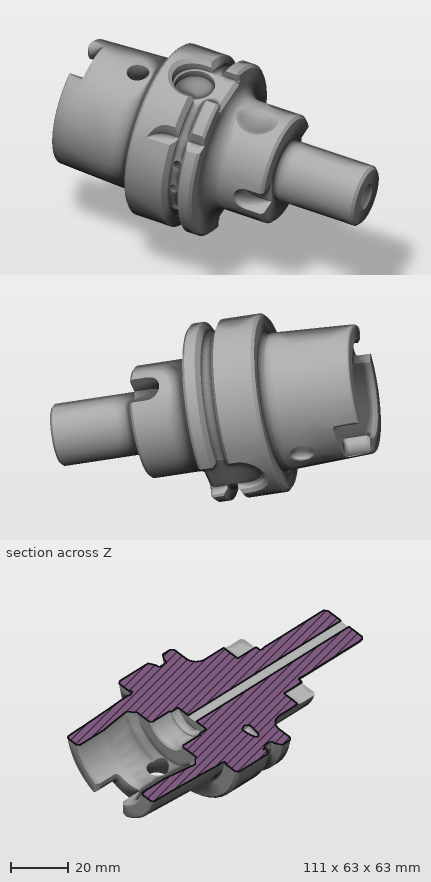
import cadquery as cq
import math

tolerance = 0.01

total_length = 111.0

taper_small_radius = 22.9
taper_big_radius = 24.2
taper_end_x = 29.9
taper_tip_round = 1.1
relief_radius = 24.0
relief_slope = 0.7
relief_length = 0.5

flange_x = 32.0
flange_end_x = 57.9
flange_radius = 31.5
flange_front_chamfer = 1.0
flange_back_chamfer = 1.0
face_recess_radius = 25.1
face_recess_root_radius = 24.4
face_recess_depth = 0.5

groove_x = 49.8
groove_half_width = 1.9
groove_flank_width = 1.4
groove_flank_angle = 60.0
groove_floor_radius = 27.5
groove_floor_fillet = 0.4

neck_radius = 19.9
neck_end_x = 80.0
neck_fillet = 4.9
neck_end_chamfer = 1.0
arbor_radius = 11.0
arbor_end_chamfer = 1.0
undercut_depth = 0.2
undercut_entry = 0.4
undercut_width = 0.5
undercut_exit = 1.0

bore_radius = 16.8
bore_mouth_chamfer = 0.8
bore_straight_depth = 11.9
flare_radius = 18.4
flare_end_x = 24.1
bore_floor_radius = 15.8
bore_floor_x = 26.8
thread_radius = 9.0
thread_chamfer = 0.7
thread_depth = 8.9
core_radius = 8.4
core_depth = 3.3
through_radius = 4.7

slot_half_width = 6.1
slot_corner_radius = 3.5
slot_corner_z = 17.2
slot_top_depth = 5.7
slot_bottom_depth = 9.2
slot_floor_fillet = 1.2
slot_mouth_chamfer = 1.0

cross_hole_x = 22.8
cross_hole_radius = 3.9
cross_hole_chamfer = 0.3

keyway_x = 44.6
keyway_half_width = 8.0
keyway_floor_z = 26.5
keyway_edge_chamfer = 1.4
keyway_rim_chamfer = 0.8
keyway_back_chamfer = 1.4
chip_hole_radius = 7.1
chip_hole_depth = 2.7

notch_y = -20.0
notch_z = 19.8
notch_cutter_radius = 7.5

balance_angles = (25, 5, -15, -35)
balance_radius = 1.7
balance_depth = 11.1
balance_tip_angle = 120.0

dimple_x = 68.8
dimple_z = 27.2
dimple_radius = 10.4

drive_half_width = 4.9
drive_floor_y = 12.1
drive_start_x = 69.0
drive_corner_radius = 4.8


def outer_body():
    flank_height = groove_flank_width * math.tan(math.radians(groove_flank_angle))
    flank_bottom = flange_radius - flank_height
    face_recess_x = flange_x + face_recess_depth
    groove_left = groove_x - groove_half_width
    groove_right = groove_x + groove_half_width
    undercut_radius = arbor_radius - undercut_depth
    undercut_start_x = neck_end_x + undercut_entry
    undercut_end_x = undercut_start_x + undercut_width
    profile = (
        cq.Workplane("XY")
        .moveTo(0, 0)
        .lineTo(0, taper_small_radius - taper_tip_round)
        .radiusArc((taper_tip_round, taper_small_radius), taper_tip_round)
        .lineTo(taper_end_x, taper_big_radius)
        .lineTo(taper_end_x + relief_slope, relief_radius)
        .lineTo(taper_end_x + relief_slope + relief_length, relief_radius)
        .lineTo(face_recess_x, face_recess_root_radius)
        .lineTo(face_recess_x, face_recess_radius)
        .lineTo(flange_x, face_recess_radius)
        .lineTo(flange_x, flange_radius - flange_front_chamfer)
        .lineTo(flange_x + flange_front_chamfer, flange_radius)
        .lineTo(groove_left - groove_flank_width, flange_radius)
        .lineTo(groove_left, flank_bottom)
        .lineTo(groove_left, groove_floor_radius + groove_floor_fillet)
        .lineTo(groove_left + groove_floor_fillet, groove_floor_radius)
        .lineTo(groove_right - groove_floor_fillet, groove_floor_radius)
        .lineTo(groove_right, groove_floor_radius + groove_floor_fillet)
        .lineTo(groove_right, flank_bottom)
        .lineTo(groove_right + groove_flank_width, flange_radius)
        .lineTo(flange_end_x - flange_back_chamfer, flange_radius)
        .lineTo(flange_end_x, flange_radius - flange_back_chamfer)
        .lineTo(flange_end_x, neck_radius + neck_fillet)
        .radiusArc((flange_end_x + neck_fillet, neck_radius), -neck_fillet)
        .lineTo(neck_end_x - neck_end_chamfer, neck_radius)
        .lineTo(neck_end_x, neck_radius - neck_end_chamfer)
        .lineTo(neck_end_x, arbor_radius)
        .lineTo(undercut_start_x, undercut_radius)
        .lineTo(undercut_end_x, undercut_radius)
        .lineTo(undercut_end_x + undercut_exit, arbor_radius)
        .lineTo(total_length - arbor_end_chamfer, arbor_radius)
        .lineTo(total_length, arbor_radius - arbor_end_chamfer)
        .lineTo(total_length, 0)
        .close()
    )
    return profile.revolve(360, (0, 0, 0), (1, 0, 0))


def hollow():
    thread_end_x = bore_floor_x + thread_depth
    profile = (
        cq.Workplane("XY")
        .moveTo(0, 0)
        .lineTo(0, bore_radius + bore_mouth_chamfer)
        .lineTo(bore_mouth_chamfer, bore_radius)
        .lineTo(bore_straight_depth, bore_radius)
        .lineTo(flare_end_x, flare_radius)
        .lineTo(bore_floor_x, bore_floor_radius)
        .lineTo(bore_floor_x, thread_radius + thread_chamfer)
        .lineTo(bore_floor_x + thread_chamfer, thread_radius)
        .lineTo(thread_end_x, thread_radius)
        .lineTo(thread_end_x, core_radius)
        .lineTo(thread_end_x + core_depth, core_radius)
        .lineTo(thread_end_x + core_depth, through_radius)
        .lineTo(total_length, through_radius)
        .lineTo(total_length, 0)
        .close()
    )
    return profile.revolve(360, (0, 0, 0), (1, 0, 0))


def is_slot_wall(edge):
    return abs(abs(edge.Center().y) - slot_half_width) < tolerance


def taper_slot(depth):
    """Slot at the top of the taper end, with rounded outer corners, filleted floor and chamfered mouth."""
    bottom_z = bore_radius / 2
    top_z = taper_big_radius
    shoulder_y = slot_half_width + slot_corner_radius
    shoulder_z = slot_corner_z + slot_corner_radius
    slot = (
        cq.Workplane("YZ")
        .moveTo(-slot_half_width, bottom_z)
        .lineTo(slot_half_width, bottom_z)
        .lineTo(slot_half_width, slot_corner_z)
        .radiusArc((shoulder_y, shoulder_z), slot_corner_radius)
        .lineTo(shoulder_y, top_z)
        .lineTo(-shoulder_y, top_z)
        .lineTo(-shoulder_y, shoulder_z)
        .radiusArc((-slot_half_width, slot_corner_z), slot_corner_radius)
        .close()
        .extrude(depth)
    )
    wall_edges = slot.faces(">X").edges().filter(lambda e: e.geomType() == "CIRCLE" or is_slot_wall(e))
    slot = wall_edges.fillet(slot_floor_fillet)
    mouth_half_width = slot_half_width + slot_mouth_chamfer
    mouth = (
        cq.Workplane("XY", origin=(0, 0, bottom_z))
        .polyline([
            (0, -mouth_half_width),
            (slot_mouth_chamfer, -slot_half_width),
            (slot_mouth_chamfer, slot_half_width),
            (0, mouth_half_width),
        ])
        .close()
        .extrude(top_z - bottom_z)
    )
    return slot.union(mouth)


def cross_hole():
    return (
        cq.Workplane("XY", origin=(cross_hole_x, 0, -taper_big_radius))
        .circle(cross_hole_radius)
        .extrude(2 * taper_big_radius)
    )


def open_slot(start_x, end_x, half_width, height):
    """Straight slot along X, standing on z = 0, with a half-round end at its start."""
    straight_x = start_x + half_width
    return (
        cq.Workplane("XY")
        .moveTo(end_x, half_width)
        .lineTo(straight_x, half_width)
        .threePointArc((start_x, 0), (straight_x, -half_width))
        .lineTo(end_x, -half_width)
        .close()
        .extrude(height)
    )


def keyway():
    """Round-ended keyway at the top of the flange, opened out where it leaves the back face."""
    depth = flange_radius - keyway_floor_z
    slot = open_slot(keyway_x - keyway_half_width, flange_end_x, keyway_half_width, depth)
    slot = slot.translate((0, 0, keyway_floor_z))
    ramp = (
        cq.Workplane("XZ", origin=(0, keyway_half_width, 0))
        .polyline([
            (flange_end_x - keyway_back_chamfer, keyway_floor_z),
            (flange_end_x, keyway_floor_z - keyway_back_chamfer),
            (flange_end_x, keyway_floor_z),
        ])
        .close()
        .extrude(2 * keyway_half_width)
    )
    flare = (
        cq.Workplane("XY", origin=(0, 0, keyway_floor_z))
        .polyline([
            (flange_end_x - keyway_rim_chamfer, -keyway_half_width),
            (flange_end_x, -keyway_half_width - keyway_rim_chamfer),
            (flange_end_x, keyway_half_width + keyway_rim_chamfer),
            (flange_end_x - keyway_rim_chamfer, keyway_half_width),
        ])
        .close()
        .extrude(depth)
    )
    return slot.union(ramp).union(flare)


def chip_hole():
    return (
        cq.Workplane("XY", origin=(keyway_x, 0, keyway_floor_z - chip_hole_depth))
        .circle(chip_hole_radius)
        .extrude(chip_hole_depth)
    )


def index_notch():
    notch = open_slot(
        keyway_x - notch_cutter_radius, flange_end_x, notch_cutter_radius, flange_radius - notch_z
    )
    return notch.translate((0, notch_y - notch_cutter_radius, notch_z))


def balance_hole(angle):
    """Radial drilling with a conical tip, raised by the angle from the -Y direction."""
    bottom_radius = groove_floor_radius - balance_depth
    top_radius = groove_floor_radius + groove_floor_fillet
    tip_height = balance_radius / math.tan(math.radians(balance_tip_angle / 2))
    hole = (
        cq.Workplane("XY")
        .moveTo(0, -top_radius)
        .lineTo(balance_radius, -top_radius)
        .lineTo(balance_radius, -bottom_radius)
        .lineTo(0, tip_height - bottom_radius)
        .close()
        .revolve(360, (0, 0, 0), (0, 1, 0))
        .translate((groove_x, 0, 0))
    )
    return hole.rotate((0, 0, 0), (1, 0, 0), -angle)


def dimple():
    return cq.Workplane("XY").sphere(dimple_radius).translate((dimple_x, 0, dimple_z))


def drive_slot():
    return (
        cq.Workplane("XZ", origin=(0, -drive_floor_y, 0))
        .center((drive_start_x + neck_end_x) / 2, 0)
        .rect(neck_end_x - drive_start_x, 2 * drive_half_width)
        .extrude(neck_radius - drive_floor_y)
        .edges("|Y and <X")
        .fillet(drive_corner_radius)
    )


def half_turn(shape):
    return shape.rotate((0, 0, 0), (1, 0, 0), 180)


def is_keyway_edge(edge):
    """True for the straight edges where a keyway wall meets the outside of the flange."""
    middle = edge.Center()
    on_wall = abs(abs(middle.y) - keyway_half_width) < tolerance
    on_flange = abs(math.hypot(middle.y, middle.z) - flange_radius) < tolerance
    return edge.geomType() == "LINE" and on_wall and on_flange


def chamfer_keyways(body):
    front_edges = body.edges().filter(lambda e: is_keyway_edge(e) and e.Center().x < groove_x)
    body = front_edges.chamfer(keyway_edge_chamfer)
    rim_edges = body.edges().filter(lambda e: is_keyway_edge(e) and e.Center().x > groove_x)
    return rim_edges.chamfer(keyway_rim_chamfer)


def is_cross_hole_edge(edge):
    """True for an edge lying all round the wall of the cross hole."""
    box = edge.BoundingBox()
    return abs(box.ylen - 2 * cross_hole_radius) < tolerance and box.xlen < taper_end_x / 2


body = outer_body()
body = body.cut(keyway()).cut(half_turn(keyway()))
body = chamfer_keyways(body)

body = body.cut(cross_hole())
body = body.edges().filter(is_cross_hole_edge).chamfer(cross_hole_chamfer)
body = body.cut(hollow())
body = body.cut(taper_slot(slot_top_depth))
body = body.cut(half_turn(taper_slot(slot_bottom_depth)))

body = body.cut(chip_hole())
body = body.cut(index_notch())
for angle in balance_angles:
    body = body.cut(balance_hole(angle))

body = body.cut(dimple())
body = body.cut(drive_slot()).cut(half_turn(drive_slot()))

result = body